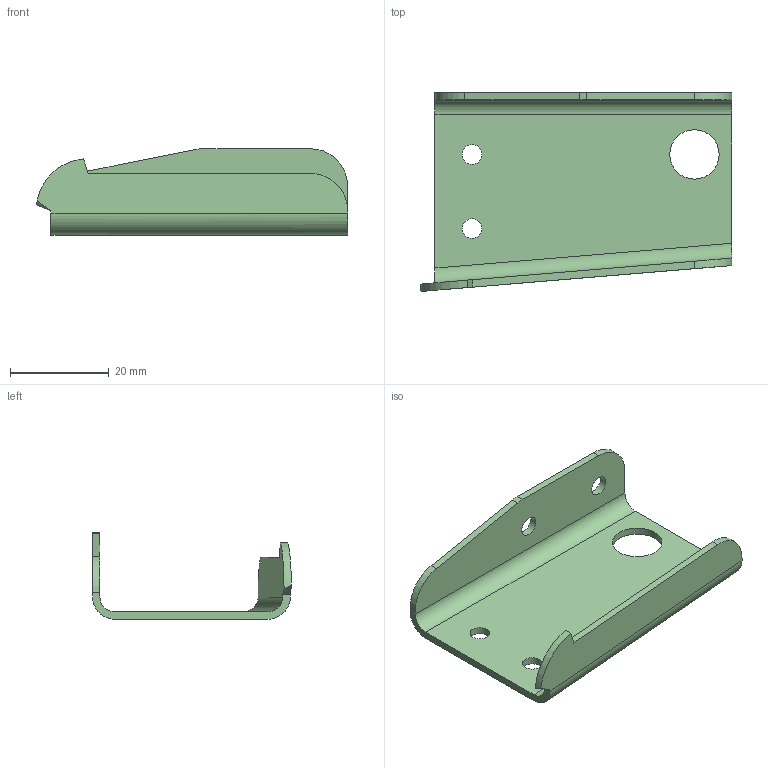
import cadquery as cq
import math


sheet = 1.5
inner_bend = 3.0
outer_bend = inner_bend + sheet
length = 60.0
width_left = 40.0
width_right = 35.0
slant = (width_left - width_right) / length
sheet_along_y = sheet * math.hypot(1, slant)
split_y = -width_right / 2
run_out = 5.0
margin = 1.0

corner_radius = 7.5
back_height = 17.5
ramp_start_height = 11.5
ramp_length = 30.0
front_height = 12.5

notch_x = 7.5
hook_center_z = 5.0
hook_radius = 10.5
hook_tip_angle = 95.0
toe_root_z = 5.0
toe_slope_inner = 0.385
toe_slope_outer = 0.67

small_hole = 4.0
large_hole = 10.0
floor_hole_x = 7.5
large_hole_x = 52.5
hole_row_y = -12.5
floor_hole_pitch = 15.0
floor_hole_count = 2
flange_hole_z = 10.0
flange_hole_xs = (32.5, 52.5)


def front_y(x):
    """Y of the outer face of the slanted front flange."""
    return -width_left + slant * x


def trough(back_inset, front_inset, bottom_z, bend_radius):
    """Full-height block with the two long bottom edges rounded."""
    x_min = -run_out
    x_max = length + run_out
    plan = [
        (x_min, -back_inset),
        (x_max, -back_inset),
        (x_max, front_y(x_max) + front_inset),
        (x_min, front_y(x_min) + front_inset),
    ]
    block = cq.Workplane("XY").workplane(offset=bottom_z).polyline(plan).close()
    block = block.extrude(back_height - bottom_z)
    return block.faces("<Z").edges("not |Y").fillet(bend_radius)


def make_channel():
    """Untrimmed channel of constant sheet thickness."""
    outside = trough(0, 0, 0, outer_bend)
    inside = trough(sheet, sheet_along_y, sheet, inner_bend)
    return outside.cut(inside)


def back_outline():
    """Back flange: ramped top edge, all upper corners rounded."""
    points = [
        (0, 0),
        (length, 0),
        (length, back_height),
        (ramp_length, back_height),
        (0, ramp_start_height),
    ]
    plate = cq.Workplane("XZ").polyline(points).close().extrude(-split_y)
    upper_corners = cq.selectors.BoxSelector(
        (-margin, split_y - margin, outer_bend), (length + margin, margin, back_height + margin)
    )
    return plate.edges("|Y").edges(upper_corners).fillet(corner_radius)


def hook_point(degrees):
    """Point of the hook arc at an angle counted from +X towards +Z."""
    angle = math.radians(degrees)
    return (
        notch_x + hook_radius * math.cos(angle),
        hook_center_z + hook_radius * math.sin(angle),
    )


def front_outline():
    """Front flange: rounded right corner, notch and round-backed hook at the left."""
    corner_inset = corner_radius * (1 - math.sqrt(0.5))
    profile = (
        cq.Workplane("XZ", origin=(0, split_y, 0))
        .moveTo(0, 0)
        .lineTo(length, 0)
        .lineTo(length, front_height - corner_radius)
        .threePointArc(
            (length - corner_inset, front_height - corner_inset),
            (length - corner_radius, front_height),
        )
        .lineTo(notch_x, front_height)
        .lineTo(*hook_point(hook_tip_angle))
        .threePointArc(hook_point(135), hook_point(180))
        .lineTo(0, toe_root_z)
        .close()
    )
    return profile.extrude(width_left)


def toe_cutter():
    """Twisted wedge under the hook, steeper on the outer face than on the inner one."""

    def section(y_inset, slope):
        """Wedge outline in a plane parallel to the front flange."""
        corners = [
            (0, 0),
            (0, toe_root_z),
            (-run_out, toe_root_z + slope * run_out),
            (-run_out, 0),
        ]
        points = [cq.Vector(x, front_y(x) + y_inset, z) for x, z in corners]
        return cq.Wire.makePolygon(points, close=True)

    inner = section(sheet_along_y, toe_slope_inner)
    outer = section(0, toe_slope_outer)
    return cq.Workplane(cq.Solid.makeLoft([inner, outer], True))


def floor_holes():
    """Two small holes at the left and a large one at the right."""
    small_places = [
        (floor_hole_x, hole_row_y - i * floor_hole_pitch) for i in range(floor_hole_count)
    ]
    small = cq.Workplane("XY").pushPoints(small_places).circle(small_hole / 2).extrude(sheet)
    large = cq.Workplane("XY").center(large_hole_x, hole_row_y).circle(large_hole / 2)
    return small.union(large.extrude(sheet))


def flange_holes():
    """Row of small holes through the back flange."""
    places = [(x, flange_hole_z) for x in flange_hole_xs]
    return cq.Workplane("XZ").pushPoints(places).circle(small_hole / 2).extrude(sheet)


channel = make_channel()
back_half = channel.intersect(back_outline())
front_half = channel.intersect(front_outline()).cut(toe_cutter())
result = back_half.union(front_half).clean()
result = result.cut(floor_holes()).cut(flange_holes())